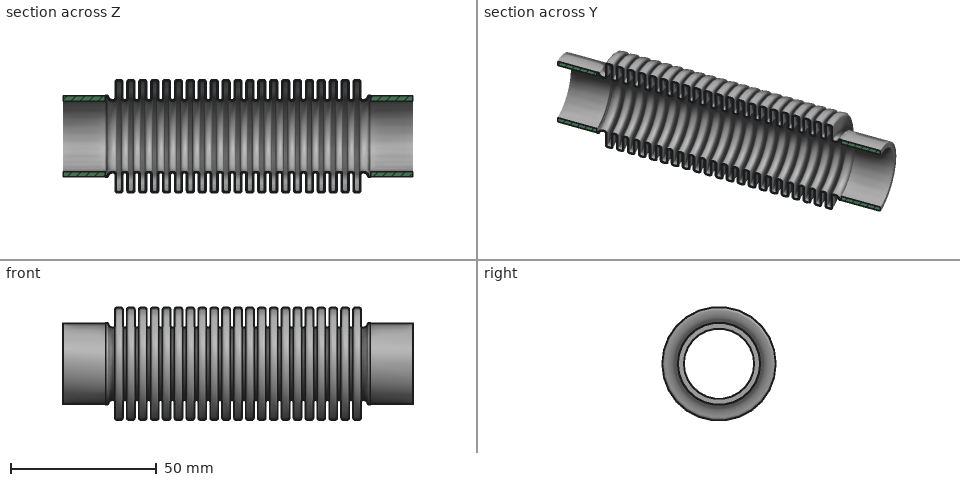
import cadquery as cq
total_length = 120.0
tube_length = 14.6
tube_radius = 14.0
bore_radius = 12.0

ring_count = 21
pitch = 4.1
wall = 0.6
ring_radius = 19.5
groove_radius = bore_radius + wall
groove_flat = 0.4
tight_bend = 0.43
wide_bend = tight_bend + wall

rings_end_x = ring_count * pitch / 2

lip_radius = 14.2
lip_flat = 0.4
lip_bend = wall
bellows_end_x = total_length / 2 - tube_length
lip_edge_x = bellows_end_x - lip_flat
flare_foot_x = rings_end_x + groove_flat / 2

flare_length = lip_edge_x - flare_foot_x
flare_rise = lip_radius - groove_radius
bend_sum = (flare_length**2 + flare_rise**2) / (2 * flare_rise)
flare_bend = bend_sum - lip_bend
flare_share = flare_bend / bend_sum
flare_top = (flare_foot_x + flare_share * flare_length, groove_radius + flare_share * flare_rise)


def add_ring(profile, left_x, ring, groove, crest_bend, groove_bend):
    """Continue the profile over one ring, from the groove at left_x to the next groove."""
    right_x = left_x + pitch
    flat_edge = groove_flat / 2
    side = flat_edge + groove_bend
    crest_edge = side + crest_bend
    return (
        profile.lineTo(left_x + flat_edge, groove)
        .tangentArcPoint((left_x + side, groove + groove_bend), relative=False)
        .lineTo(left_x + side, ring - crest_bend)
        .tangentArcPoint((left_x + crest_edge, ring), relative=False)
        .lineTo(right_x - crest_edge, ring)
        .tangentArcPoint((right_x - side, ring - crest_bend), relative=False)
        .lineTo(right_x - side, groove + groove_bend)
        .tangentArcPoint((right_x - flat_edge, groove), relative=False)
    )


def ring_body(ring, groove, crest_bend, groove_bend):
    """Solid of revolution under the rings, between the feet of the two flares."""
    profile = cq.Workplane("XY").moveTo(-flare_foot_x, 0).lineTo(-flare_foot_x, groove)
    for index in range(ring_count):
        left_x = index * pitch - rings_end_x
        profile = add_ring(profile, left_x, ring, groove, crest_bend, groove_bend)
    profile = profile.lineTo(flare_foot_x, groove).lineTo(flare_foot_x, 0).close()
    return profile.revolve(360, (0, 0, 0), (1, 0, 0))


def right_end():
    """Flare, lip and tube at the +X end, as one revolved section."""
    inner_lip_radius = lip_radius - wall
    section = (
        cq.Workplane("XY")
        .moveTo(flare_foot_x, groove_radius)
        .radiusArc(flare_top, -flare_bend)
        .tangentArcPoint((lip_edge_x, lip_radius), relative=False)
        .lineTo(bellows_end_x, lip_radius)
        .lineTo(bellows_end_x, tube_radius)
        .lineTo(total_length / 2, tube_radius)
        .lineTo(total_length / 2, bore_radius)
        .lineTo(bellows_end_x, bore_radius)
        .lineTo(bellows_end_x, inner_lip_radius)
        .lineTo(lip_edge_x, inner_lip_radius)
        .radiusArc((flare_foot_x, bore_radius), flare_bend + wall)
        .close()
    )
    return section.revolve(360, (0, 0, 0), (1, 0, 0))


outer_face = ring_body(ring_radius, groove_radius, wide_bend, tight_bend)
inner_face = ring_body(ring_radius - wall, bore_radius, tight_bend, wide_bend)
rings = outer_face.cut(inner_face)

end = right_end()
result = rings.union(end).union(end.mirror("YZ"))